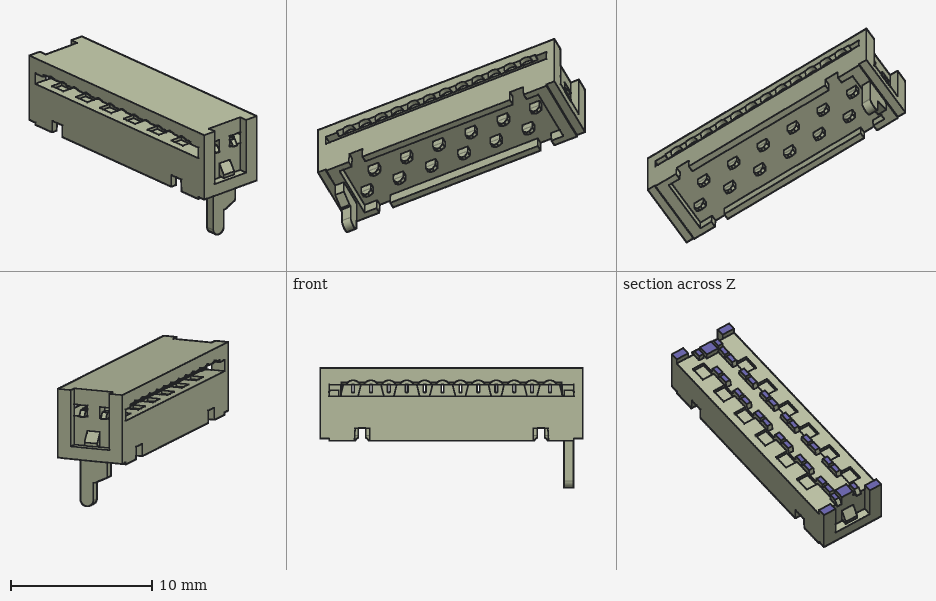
import cadquery as cq


length = 18.61
width = 5.0
height = 5.17
foot_height = 0.17
flange = 0.63

pocket_width = 2.98
pocket_floor = 1.08
hook_width = 0.99
hook_bottom = 1.2
hook_lip = 1.43
hook_top = 2.18
hook_reach = 0.48

slot_floor = 3.18
slot_ceiling = 4.0
mouth_rise = 0.17
mouth_depth = 0.37
column_width = 0.99
column_end = 7.82
groove_radius = 0.54
groove_top = 4.3
ear_width = 0.4
ear_height = 0.43
ear_outer = 8.88
ear_inner = 7.98
ear_slope_run = 0.3
ear_lip = 0.04
ear_offset = 0.84

contact_count = 12
contact_span = 13.95
pitch = contact_span / (contact_count - 1)
row_offset = 0.73
contact_thickness = 0.4
blade_top_width = 1.41
blade_bottom_width = 1.82
slit_width = 0.17
slit_bottom = 3.42
pin_width = 0.76
pin_corner = 0.26
pin_bevel_height = 0.41
pin_bevel_run = 0.07

pit_length = 1.23
pit_depth = 0.25
pit_setback = 0.63

wall = 0.47
cavity_depth = 0.91
cavity_length = 2 * column_end
notch_inner = 5.8
notch_outer_top = 6.83
notch_outer_bottom = 6.89

leg_outer = 8.65
leg_thickness = 0.69
leg_half_width = 1.05
leg_step = -1.12
leg_slope_end = (0.11, -1.56)
leg_tip_width = 1.0
leg_bottom = -3.33

half_length = length / 2
half_width = width / 2
pocket_face = half_length - flange
contact_positions = [(i - (contact_count - 1) / 2) * pitch for i in range(contact_count)]


def box(x_range, y_range, z_range):
    """Box between the given limits on each axis."""
    size = [hi - lo for lo, hi in (x_range, y_range, z_range)]
    return cq.Workplane("XY").box(*size, centered=False).translate((x_range[0], y_range[0], z_range[0]))


def centred_box(x_size, y_size, z_range):
    """Box centred on X and Y."""
    return box((-x_size / 2, x_size / 2), (-y_size / 2, y_size / 2), z_range)


def plate_xz(points, y_centre, thickness):
    """Outline in X and Z, given thickness in Y."""
    plate = cq.Workplane("XZ").polyline(points).close().extrude(thickness / 2, both=True)
    return plate.translate((0, y_centre, 0))


def both_ends(shape):
    """The shape together with its mirror image at the other end in X."""
    return shape.union(shape.mirror("YZ"))


def housing():
    body = centred_box(length, width, (foot_height, height))
    body = body.union(centred_box(2 * pocket_face, width, (0, height)))
    pocket = box((pocket_face, half_length), (-pocket_width / 2, pocket_width / 2), (pocket_floor, height))
    return body.cut(both_ends(pocket))


def cable_slot():
    slot = centred_box(2 * pocket_face, width, (slot_floor, slot_ceiling))
    column = box(
        (column_end, pocket_face), (-column_width / 2, column_width / 2), (slot_floor, slot_ceiling)
    )
    return slot.cut(both_ends(column))


def slot_mouths():
    """Bevels and wire grooves along both upper lips of the slot."""
    bevel = (
        cq.Workplane("YZ")
        .polyline([
            (-half_width, slot_ceiling),
            (-half_width, slot_ceiling + mouth_rise),
            (-half_width + mouth_depth, slot_ceiling),
        ])
        .close()
        .extrude(column_end, both=True)
    )
    grooves = (
        cq.Workplane("XZ", origin=(0, -half_width, groove_top - groove_radius))
        .pushPoints([(x, 0) for x in contact_positions])
        .circle(groove_radius)
        .extrude(-mouth_depth)
    )
    above_ceiling = centred_box(length, width, (slot_ceiling, height))
    lip = bevel.union(grooves.intersect(above_ceiling))
    return lip.union(lip.mirror("XZ"))


def underside_cavity():
    return centred_box(cavity_length, width - 2 * wall, (0, cavity_depth))


def side_notches():
    outline = [
        (notch_inner, 0),
        (notch_outer_bottom, 0),
        (notch_outer_top, cavity_depth),
        (notch_inner, cavity_depth),
    ]
    return both_ends(plate_xz(outline, 0, width))


def wire_pit(x, row_side):
    """Shallow pit in the slot floor, on the opposite side from the contact at x."""
    inner = row_offset + contact_thickness / 2
    outer = half_width - pit_setback
    pit = box((-pit_length / 2, pit_length / 2), (inner, outer), (slot_floor - pit_depth, slot_floor))
    if row_side > 0:
        pit = pit.mirror("XZ")
    return pit.translate((x, 0, 0))


def contact(x, row_side):
    """Forked blade across the cable slot and a tapered pin in the cavity."""
    y = row_side * row_offset
    blade = plate_xz(
        [
            (-blade_bottom_width / 2, slot_floor),
            (blade_bottom_width / 2, slot_floor),
            (blade_top_width / 2, slot_ceiling),
            (-blade_top_width / 2, slot_ceiling),
        ],
        y,
        contact_thickness,
    )
    slit_half = slit_width / 2
    slit = (
        cq.Workplane("XZ")
        .moveTo(-slit_half, slot_ceiling)
        .lineTo(-slit_half, slit_bottom + slit_half)
        .threePointArc((0, slit_bottom), (slit_half, slit_bottom + slit_half))
        .lineTo(slit_half, slot_ceiling)
        .close()
        .extrude(width / 2, both=True)
    )
    pin = plate_xz(
        [
            (-pin_width / 2 + pin_corner, 0),
            (pin_width / 2 - pin_corner, 0),
            (pin_width / 2, pin_corner),
            (pin_width / 2, cavity_depth),
            (-pin_width / 2, cavity_depth),
            (-pin_width / 2, pin_corner),
        ],
        y,
        contact_thickness,
    )
    half_thickness = contact_thickness / 2
    bevelled_sides = (
        cq.Workplane("YZ")
        .polyline([
            (y - half_thickness + pin_bevel_run, 0),
            (y + half_thickness - pin_bevel_run, 0),
            (y + half_thickness, pin_bevel_height),
            (y + half_thickness, cavity_depth),
            (y - half_thickness, cavity_depth),
            (y - half_thickness, pin_bevel_height),
        ])
        .close()
        .extrude(pin_width / 2, both=True)
    )
    pin = pin.intersect(bevelled_sides)
    return blade.cut(slit).union(pin).translate((x, 0, 0))


def latch_hooks():
    outline = [
        (pocket_face, hook_bottom),
        (pocket_face + hook_reach, hook_bottom),
        (pocket_face + hook_reach, hook_lip),
        (pocket_face, hook_top),
    ]
    return both_ends(plate_xz(outline, 0, hook_width))


def end_ears():
    """Small ramped blocks on the slot floor that stick out into the end pockets."""
    outline = [
        (ear_inner, slot_floor),
        (ear_outer, slot_floor),
        (ear_outer, slot_floor + ear_lip),
        (ear_outer - ear_slope_run, slot_floor + ear_height),
        (ear_inner, slot_floor + ear_height),
    ]
    ear = plate_xz(outline, ear_offset, ear_width)
    return both_ends(ear.union(ear.mirror("XZ")))


def locating_leg():
    tip_radius = leg_tip_width / 2
    tip_left = -leg_half_width
    tip_right = tip_left + leg_tip_width
    tip_start = leg_bottom + tip_radius
    return (
        cq.Workplane("YZ", origin=(leg_outer - leg_thickness, 0, 0))
        .moveTo(-leg_half_width, cavity_depth)
        .lineTo(tip_left, tip_start)
        .threePointArc((tip_left + tip_radius, leg_bottom), (tip_right, tip_start))
        .lineTo(tip_right, leg_slope_end[1])
        .lineTo(*leg_slope_end)
        .lineTo(leg_half_width, leg_step)
        .lineTo(leg_half_width, cavity_depth)
        .close()
        .extrude(leg_thickness)
    )


result = housing().cut(cable_slot()).cut(slot_mouths())
result = result.cut(underside_cavity()).cut(side_notches())
for index, position in enumerate(contact_positions):
    side = 1 if index % 2 == 0 else -1
    result = result.cut(wire_pit(position, side)).union(contact(position, side))
result = result.union(latch_hooks()).union(end_ears()).union(locating_leg())